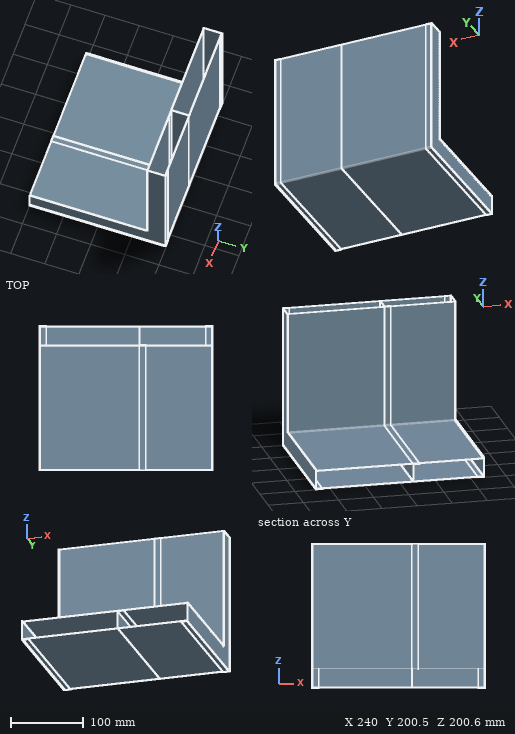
import cadquery as cq

width = 240.0
overall_depth = 200.5
overall_height = 200.6
sheet = 0.7
leg_thickness = 28.3
side_gap = 0.7
inner_recess = 0.7
bend_radius = 0.7
flange_width = 9.4
divider_x = 138.2
divider_overhang = 0.5

shell_depth = overall_depth - divider_overhang
shell_height = overall_height - divider_overhang

outer_face = sheet
outer_inside = outer_face + sheet
inner_face = leg_thickness - inner_recess
inner_inside = inner_face - sheet
flange_inside = inner_inside - sheet

second_radius = bend_radius + sheet
third_radius = second_radius + sheet


def l_prism(x_start, x_length, near, far, depth, height, near_radius, far_radius):
    """L-section prism along X that fills the offsets near..far from the rear and bottom faces.

    near_radius rounds the outside of the bend, far_radius its inside (0 leaves it sharp).
    """
    outline = [
        (-near, near),
        (-depth, near),
        (-depth, far),
        (-far, far),
        (-far, height),
        (-near, height),
    ]
    prism = (
        cq.Workplane("YZ", origin=(x_start, overall_depth, 0))
        .polyline(outline)
        .close()
        .extrude(x_length)
    )
    for offset, radius in ((near, near_radius), (far, far_radius)):
        if radius > 0:
            bend_corner = (x_start + x_length / 2, overall_depth - offset, offset)
            bend_edge = cq.selectors.NearestToPointSelector(bend_corner)
            prism = prism.edges("|X").edges(bend_edge).fillet(radius)
    return prism


def make_sheet(near):
    """L-bent sheet that fits between the two side panels."""
    side = sheet + side_gap
    return l_prism(
        side, width - 2 * side, near, near + sheet, shell_depth, shell_height, second_radius, bend_radius
    )


def make_side_panel(panel_x, flange_x):
    """L-shaped side panel with a flange folded under the bottom and behind the back."""
    web = l_prism(panel_x, sheet, 0, leg_thickness, shell_depth, shell_height, third_radius, 0)
    flange = l_prism(
        flange_x, flange_width, 0, sheet, shell_depth, shell_height, third_radius, second_radius
    )
    return web.union(flange)


def make_divider():
    """Upright L-shaped web with a flange folded against the inner sheet."""
    web = l_prism(
        divider_x, sheet, outer_inside, inner_inside,
        overall_depth, overall_height, bend_radius, second_radius,
    )
    flange = l_prism(
        divider_x, flange_width, flange_inside, inner_inside,
        overall_depth, overall_height, third_radius, second_radius,
    )
    return web.union(flange)


outer_sheet = make_sheet(outer_face)
inner_sheet = make_sheet(inner_inside)
divider = make_divider()
side_places = [(0, 0), (width - sheet, width - flange_width)]
side_panels = [make_side_panel(panel_x, flange_x).val() for panel_x, flange_x in side_places]

result = cq.Compound.makeCompound(
    [outer_sheet.val(), inner_sheet.val(), divider.val(), *side_panels]
)